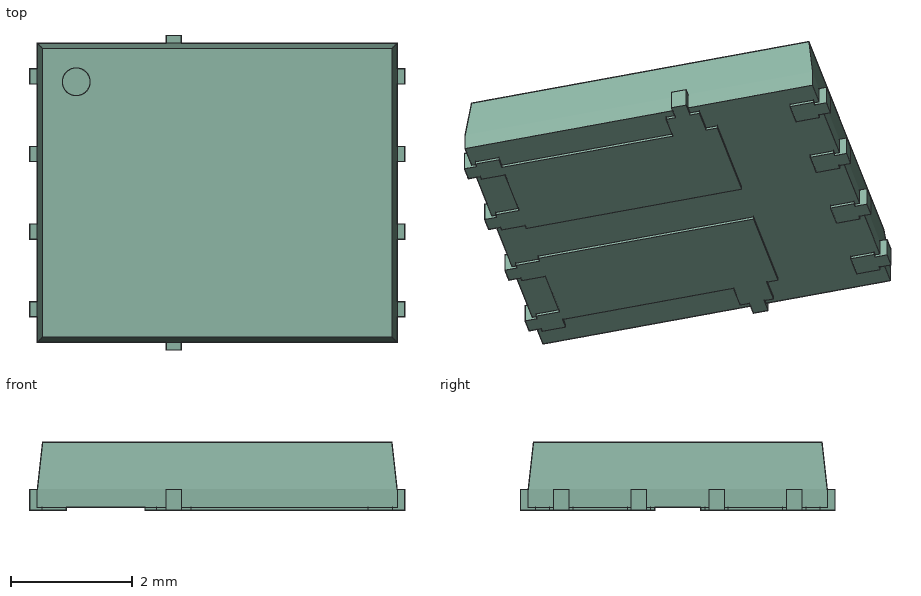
import cadquery as cq

overall_length = 6.15
overall_width = 5.16
overall_height = 1.12

housing_length = 5.905
housing_width = 4.91
standoff = 0.05
top_inset = 0.085

frame_thickness = 0.345
lead_width = 0.25
lead_pitch = 1.27
row_count = 4
land_width = 0.38
land_outer_x = 2.87
land_inner_x = 2.47

lead_rows = [(row - (row_count - 1) / 2) * lead_pitch for row in range(row_count)]

pad_left_x = -1.19
pad_right_x = land_inner_x
pad_inner_y = 0.375
pad_outer_y = lead_rows[-1]
end_lead_x = -0.715
end_land_width = 0.565
end_land_outer_y = 2.33

marker_radius = 0.23
marker_depth = 0.05
marker_x = -2.31
marker_y = 1.82


def frame_plate(x_start, x_end, y_start, y_end):
    """Rectangular piece of leadframe standing on Z = 0."""
    return cq.Workplane("XY").box(
        x_end - x_start, y_end - y_start, frame_thickness, centered=False
    ).translate((x_start, y_start, 0))


def right_side_lead(row_y):
    """Narrow lead tip with its wider land, on the +X side."""
    tip = frame_plate(
        land_inner_x, overall_length / 2, row_y - lead_width / 2, row_y + lead_width / 2
    )
    land = frame_plate(
        land_inner_x, land_outer_x, row_y - land_width / 2, row_y + land_width / 2
    )
    return tip.union(land)


def source_lead(row_y):
    """Separate lead on the -X side."""
    return right_side_lead(row_y).mirror("YZ")


def back_drain_pad():
    """Large pad in the +Y half with two side leads and one end lead."""
    pad = frame_plate(pad_left_x, pad_right_x, pad_inner_y, pad_outer_y)
    end_land = frame_plate(
        end_lead_x - end_land_width / 2, end_lead_x + end_land_width / 2,
        pad_inner_y, end_land_outer_y,
    )
    end_tip = frame_plate(
        end_lead_x - lead_width / 2, end_lead_x + lead_width / 2,
        pad_inner_y, overall_width / 2,
    )
    pad = pad.union(end_land).union(end_tip)
    for row_y in lead_rows[row_count // 2:]:
        pad = pad.union(right_side_lead(row_y))
    return pad


def pin_one_marker():
    """Flat disc set flush into the top face."""
    return (
        cq.Workplane("XY", origin=(marker_x, marker_y, overall_height - marker_depth))
        .circle(marker_radius)
        .extrude(marker_depth)
    )


def housing_blank():
    """Upright lower band, then four sloped walls up to the top face."""
    band = (
        cq.Workplane("XY", origin=(0, 0, standoff))
        .rect(housing_length, housing_width)
        .extrude(frame_thickness - standoff)
    )
    cap = (
        cq.Workplane("XY", origin=(0, 0, frame_thickness))
        .rect(housing_length, housing_width)
        .workplane(offset=overall_height - frame_thickness)
        .rect(housing_length - 2 * top_inset, housing_width - 2 * top_inset)
        .loft(ruled=True)
    )
    return band.union(cap)


source_leads = [source_lead(row_y) for row_y in lead_rows]
back_pad = back_drain_pad()
drain_pads = [back_pad, back_pad.mirror("XZ")]
marker = pin_one_marker()

inserts = [*source_leads, *drain_pads, marker]
housing = housing_blank()
for insert in inserts:
    housing = housing.cut(insert)

result = cq.Compound.makeCompound([housing.val(), *[insert.val() for insert in inserts]])